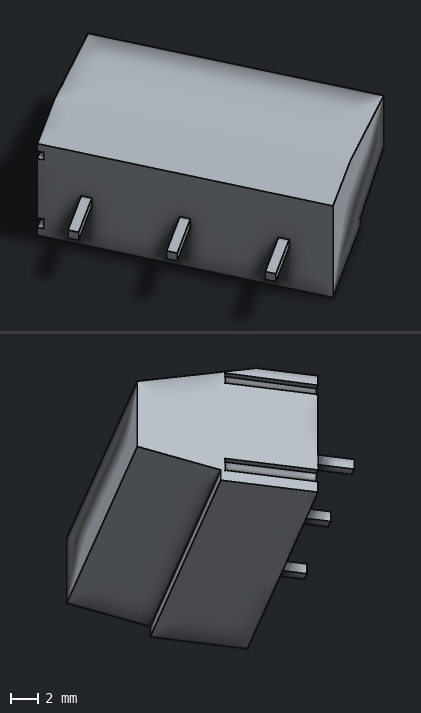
import cadquery as cq

length = 22.5
depth = 13.6
height = 10.01
top_flat_depth = 4.64
foot_depth = 7.31
foot_height = 0.88
back_bottom = 2.0
back_top = 7.63

groove_length = 7.0
groove_depth = 0.5
lower_groove_bottom = 0.9
lower_groove_top = 1.91
upper_groove_bottom = 8.4
upper_groove_top_front = 9.18
upper_groove_top_back = 9.25

pin_count = 3
pin_pitch = length / pin_count
pin_width = 0.8
pin_height = 0.85
pin_length = 3.5
pin_center_z = 4.9


def make_housing():
    """Tapered housing with a stepped foot along its underside."""
    profile = [
        (0, 0),
        (foot_depth, 0),
        (foot_depth, foot_height),
        (depth, back_bottom),
        (depth, back_top),
        (top_flat_depth, height),
        (0, height),
    ]
    return cq.Workplane("YZ").polyline(profile).close().extrude(length)


def make_groove(bottom, top_front, top_back):
    """Cutter for one end groove; its upper wall may rise towards the back."""
    outline = [
        (0, bottom),
        (groove_length, bottom),
        (groove_length, top_back),
        (0, top_front),
    ]
    return cq.Workplane("YZ").polyline(outline).close().extrude(groove_depth)


def make_pins():
    """Evenly spaced pins pointing towards -Y from the housing face."""
    centers = [((i + 0.5) * pin_pitch, pin_center_z) for i in range(pin_count)]
    return (
        cq.Workplane("XZ")
        .pushPoints(centers)
        .rect(pin_width, pin_height)
        .extrude(pin_length)
    )


lower_groove = make_groove(lower_groove_bottom, lower_groove_top, lower_groove_top)
upper_groove = make_groove(upper_groove_bottom, upper_groove_top_front, upper_groove_top_back)

result = make_housing().cut(lower_groove).cut(upper_groove).union(make_pins())